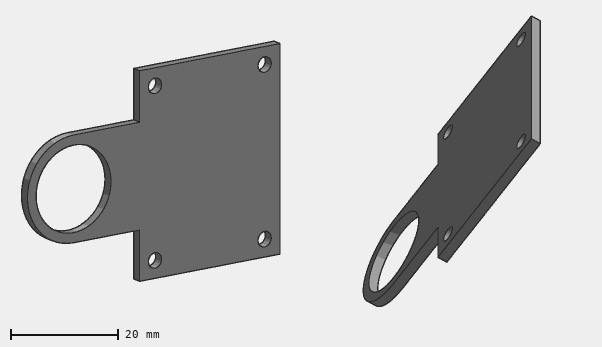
import cadquery as cq

total_length = 57.5
thickness = 2.0
plate_length = 31.95
plate_height = 41.0
tab_width = 21.0
ring_bore = 17.0
screw_hole = 3.0
hole_margin = 3.5

plate_back = total_length / 2
plate_front = plate_back - plate_length
plate_center = (plate_back + plate_front) / 2
ring_center = -total_length / 2 + tab_width / 2


def slab(y_center, length, height):
    """Rectangular slab of the common thickness, centred on X and Z."""
    return cq.Workplane("XY").box(thickness, length, height).translate((0, y_center, 0))


def disc(diameter):
    """Disc of the common thickness about the ring axis."""
    return (
        cq.Workplane("YZ", origin=(-thickness / 2, 0, 0))
        .center(ring_center, 0)
        .circle(diameter / 2)
        .extrude(thickness)
    )


plate = slab(plate_center, plate_length, plate_height)
tab = slab((plate_front + ring_center) / 2, plate_front - ring_center, tab_width)
body = plate.union(tab).union(disc(tab_width))

body = body.cut(disc(ring_bore))

screw_holes = (
    cq.Workplane("YZ", origin=(-thickness / 2, 0, 0))
    .center(plate_center, 0)
    .rect(plate_length - 2 * hole_margin, plate_height - 2 * hole_margin, forConstruction=True)
    .vertices()
    .circle(screw_hole / 2)
    .extrude(thickness)
)

result = body.cut(screw_holes)